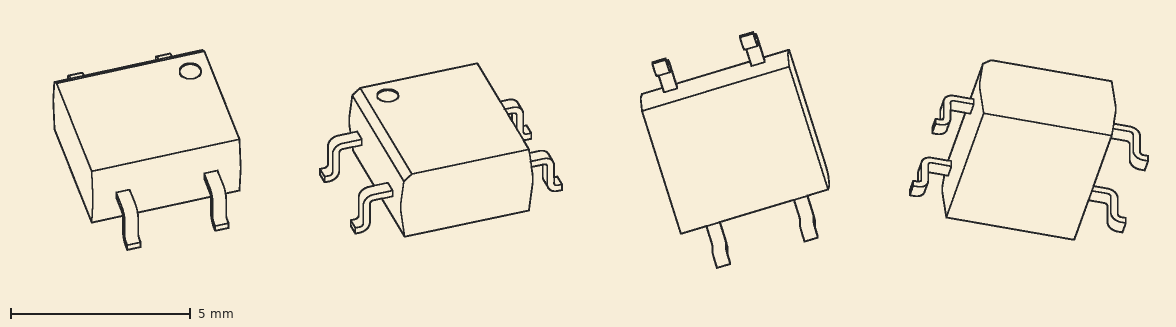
import cadquery as cq

SPAN = 6.1
HOUSING_LENGTH = 4.29
TOP_Z = 2.18

STANDOFF = 0.06
HOUSING_HALF_WIDTH = 1.95
END_HALF_WIDTH = 1.835
BEVEL_HEIGHT = 0.195
BEVEL_TOP_X = -1.62

DIMPLE_RADIUS = 0.3
DIMPLE_DEPTH = 0.05
DIMPLE_X = -1.02
DIMPLE_Y = 1.555

LEAD_WIDTH = 0.39
LEAD_THICKNESS = 0.2
LEAD_PITCH = 2.55
LEAD_TOP_Z = 1.22
FOOT_LENGTH = 0.23
INNER_BEND_RADIUS = 0.1
OUTER_BEND_RADIUS = INNER_BEND_RADIUS + LEAD_THICKNESS
LEAD_UNDERSIDE_Z = LEAD_TOP_Z - LEAD_THICKNESS


def make_housing():
    """Body with drafted sides, a bevelled pin 1 edge and a round dimple on top."""
    bevel_z = TOP_Z - BEVEL_HEIGHT
    draft = (HOUSING_HALF_WIDTH - END_HALF_WIDTH) / (TOP_Z - LEAD_TOP_Z)
    bevel_bottom_x = -HOUSING_HALF_WIDTH + draft * (bevel_z - LEAD_TOP_Z)
    outline = [
        (-END_HALF_WIDTH, STANDOFF),
        (END_HALF_WIDTH, STANDOFF),
        (HOUSING_HALF_WIDTH, LEAD_UNDERSIDE_Z),
        (HOUSING_HALF_WIDTH, LEAD_TOP_Z),
        (END_HALF_WIDTH, TOP_Z),
        (BEVEL_TOP_X, TOP_Z),
        (bevel_bottom_x, bevel_z),
        (-HOUSING_HALF_WIDTH, LEAD_TOP_Z),
        (-HOUSING_HALF_WIDTH, LEAD_UNDERSIDE_Z),
    ]
    block = cq.Workplane("XZ").polyline(outline).close().extrude(HOUSING_LENGTH / 2, both=True)
    dimple = (
        cq.Workplane("XY", origin=(DIMPLE_X, DIMPLE_Y, TOP_Z))
        .circle(DIMPLE_RADIUS)
        .extrude(-DIMPLE_DEPTH)
    )
    return block.cut(dimple)


def make_left_lead(y):
    """Gull-wing lead centred on y, butting against the left side of the housing."""
    tip_x = -SPAN / 2
    leg_outer_x = tip_x + FOOT_LENGTH
    leg_inner_x = leg_outer_x + LEAD_THICKNESS
    foot_bend_x = leg_outer_x - INNER_BEND_RADIUS
    foot_bend_z = LEAD_THICKNESS + INNER_BEND_RADIUS
    top_bend_x = leg_inner_x + INNER_BEND_RADIUS
    top_bend_z = LEAD_UNDERSIDE_Z - INNER_BEND_RADIUS
    return (
        cq.Workplane("XZ", origin=(0, y, 0))
        .moveTo(tip_x, 0)
        .lineTo(foot_bend_x, 0)
        .radiusArc((leg_inner_x, foot_bend_z), -OUTER_BEND_RADIUS)
        .lineTo(leg_inner_x, top_bend_z)
        .radiusArc((top_bend_x, LEAD_UNDERSIDE_Z), INNER_BEND_RADIUS)
        .lineTo(-HOUSING_HALF_WIDTH, LEAD_UNDERSIDE_Z)
        .lineTo(-HOUSING_HALF_WIDTH, LEAD_TOP_Z)
        .lineTo(top_bend_x, LEAD_TOP_Z)
        .radiusArc((leg_outer_x, top_bend_z), -OUTER_BEND_RADIUS)
        .lineTo(leg_outer_x, foot_bend_z)
        .radiusArc((foot_bend_x, LEAD_THICKNESS), INNER_BEND_RADIUS)
        .lineTo(tip_x, LEAD_THICKNESS)
        .close()
        .extrude(LEAD_WIDTH / 2, both=True)
    )


housing = make_housing()

leads = []
for lead_y in (-LEAD_PITCH / 2, LEAD_PITCH / 2):
    left_lead = make_left_lead(lead_y)
    leads.append(left_lead.val())
    leads.append(left_lead.mirror("YZ").val())

result = cq.Compound.makeCompound([housing.val(), *leads])